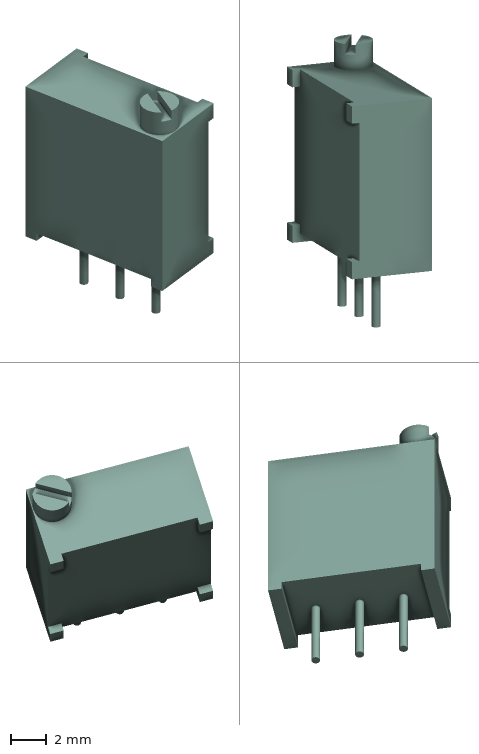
import cadquery as cq

body_width = 9.5
body_depth = 4.85
body_height = 10.0

foot_width = 0.78
foot_height = 0.5
back_pad_height = 1.0
back_pad_depth = 0.46

pin_diameter = 0.5
pin_pitch = 2.5
pin_count = 3
pin_length_below_feet = 3.5
pin_y = 2.46

screw_diameter = 2.2
screw_height = 1.5
screw_edge_distance = 1.15
screw_x = body_width / 2 - screw_edge_distance
screw_y = 1.3
slot_width = 0.6
slot_length = 2 * screw_diameter
slot_depth = 0.6
slot_angle = -32.0


def make_box(x_size, y_size, z_size, y_start, z_start):
    """Box centred on X = 0, growing toward +Y and +Z from the given start."""
    return (
        cq.Workplane("XY", origin=(0, y_start, z_start))
        .box(x_size, y_size, z_size, centered=(True, False, False))
    )


def make_housing():
    """Block with a channel underneath and a cross-shaped recess in the back."""
    span_between_feet = body_width - 2 * foot_width
    span_between_pads = body_height - 2 * back_pad_height
    back_floor_y = body_depth - back_pad_depth

    block = make_box(body_width, body_depth, body_height, 0, 0)
    bottom_channel = make_box(span_between_feet, body_depth, foot_height, 0, 0)
    upright_recess = make_box(span_between_feet, back_pad_depth, body_height, back_floor_y, 0)
    level_recess = make_box(body_width, back_pad_depth, span_between_pads, back_floor_y, back_pad_height)
    return block.cut(bottom_channel).cut(upright_recess).cut(level_recess)


def make_pins():
    """Row of round pins hanging from the floor of the bottom channel."""
    return (
        cq.Workplane("XY", origin=(0, pin_y, -pin_length_below_feet))
        .rarray(pin_pitch, 1, pin_count, 1)
        .circle(pin_diameter / 2)
        .extrude(pin_length_below_feet + foot_height)
    )


def make_screw():
    """Round screw head on the top face with a screwdriver slot across it."""
    head = cq.Workplane("XY").circle(screw_diameter / 2).extrude(screw_height)
    slot = (
        cq.Workplane("XY", origin=(0, 0, screw_height - slot_depth))
        .box(slot_length, slot_width, slot_depth, centered=(True, True, False))
        .rotate((0, 0, 0), (0, 0, 1), slot_angle)
    )
    return head.cut(slot).translate((screw_x, screw_y, body_height))


result = make_housing().union(make_pins()).union(make_screw())